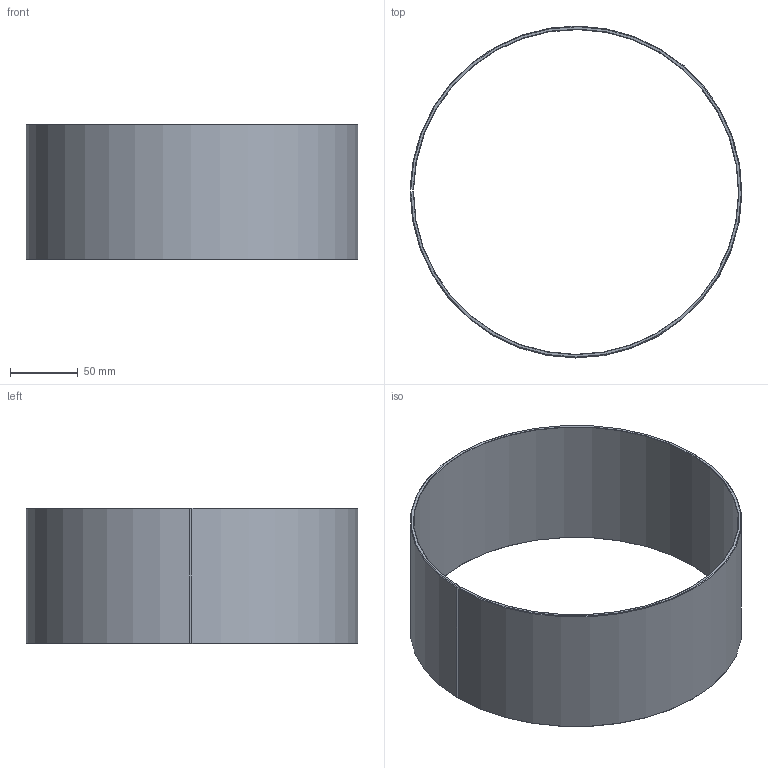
import cadquery as cq

outer_diameter = 245.0
wall_thickness = 2.5
height = 100.0
outer_chamfer = 0.5
inner_chamfer = 0.2
gap_angle = 1.0

outer_radius = outer_diameter / 2
inner_radius = outer_radius - wall_thickness


def wall_section():
    """Cross-section of the wall in the XZ plane at -X, with all four corners chamfered."""
    return (
        cq.Workplane("XZ")
        .moveTo(-outer_radius + outer_chamfer, 0)
        .lineTo(-inner_radius - inner_chamfer, 0)
        .lineTo(-inner_radius, inner_chamfer)
        .lineTo(-inner_radius, height - inner_chamfer)
        .lineTo(-inner_radius - inner_chamfer, height)
        .lineTo(-outer_radius + outer_chamfer, height)
        .lineTo(-outer_radius, height - outer_chamfer)
        .lineTo(-outer_radius, outer_chamfer)
        .close()
    )


def make_split_band():
    """Sweep the section counter-clockwise around Z, stopping short to leave the gap on the +Y side of -X."""
    return wall_section().revolve(360 - gap_angle, (0, 0, 0), (0, 1, 0))


result = make_split_band()